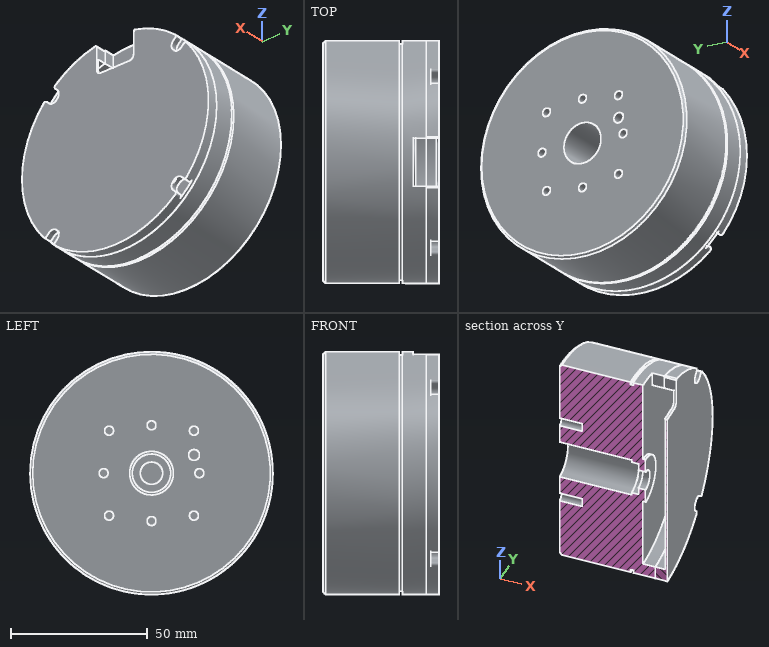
import cadquery as cq
import math

outer_radius = 44.5
total_length = 42.5
cover_length = 4.7
housing_length = total_length - cover_length
front_chamfer = 1.0

groove_start = 28.0
groove_width = 1.1
groove_depth = 1.2

cavity_start = 33.0
cavity_radius = 39.0
cover_plate_thickness = 1.0
boss_radius = 10.0
boss_height = 1.0

bore_radius = 8.0
bore_depth = 28.5
middle_bore_radius = 7.0
middle_bore_depth = 31.15
small_bore_radius = 4.1

screw_hole_diameter = 3.3
straight_hole_circle_radius = 17.5
diagonal_hole_circle_radius = 22.0
locating_hole_diameter = 4.0
locating_hole_y = -15.6
locating_hole_z = 6.7
front_hole_depth = 8.9

slot_width = 17.5
slot_floor_height = 31.15
slot_corner_radius = 2.0
slot_edge_chamfer = 0.5

notch_count = 4
notch_length = 3.0
notch_width = 5.7
notch_floor_radius = 39.3
notch_corner_radius = 2.5
notch_lip_radius = 1.0


def cylinder(start, length, radius):
    """Solid cylinder on the X axis."""
    return cq.Workplane("YZ", origin=(start, 0, 0)).circle(radius).extrude(length)


def front_holes(points, diameter):
    """Blind holes entering the front face at the given (Y, Z) points."""
    return cq.Workplane("YZ").pushPoints(points).circle(diameter / 2).extrude(front_hole_depth)


def hole_circle(radius, first_angle):
    """Four (Y, Z) points evenly spaced on a circle."""
    angles = [math.radians(first_angle + 90 * i) for i in range(4)]
    return [(radius * math.cos(a), radius * math.sin(a)) for a in angles]


def cable_slot():
    """Round-cornered slot cutter, open at the top and the rear."""
    slot_height = outer_radius - slot_floor_height
    return (
        cq.Workplane("XY")
        .box(total_length - cavity_start, slot_width, slot_height, centered=(False, True, False))
        .translate((cavity_start, 0, slot_floor_height))
        .edges("|X and <Z")
        .fillet(slot_corner_radius)
    )


def slot_chamfer():
    """Wedge that breaks the two outer edges of the slot across the cover."""
    half_width = slot_width / 2
    edge_height = math.sqrt(outer_radius**2 - half_width**2)
    chamfer_bottom = edge_height - slot_edge_chamfer
    edge_angle = math.asin(half_width / outer_radius) + slot_edge_chamfer / outer_radius
    chamfer_end_y = outer_radius * math.sin(edge_angle)
    chamfer_end_z = outer_radius * math.cos(edge_angle)
    return (
        cq.Workplane("YZ", origin=(housing_length, 0, 0))
        .moveTo(-half_width, chamfer_bottom)
        .lineTo(half_width, chamfer_bottom)
        .lineTo(chamfer_end_y, chamfer_end_z)
        .lineTo(chamfer_end_y, outer_radius)
        .lineTo(-chamfer_end_y, outer_radius)
        .lineTo(-chamfer_end_y, chamfer_end_z)
        .close()
        .extrude(cover_length)
    )


def rim_notch(angle):
    """Notch cutter with rounded floor corners and flared, rounded lips."""
    half_width = notch_width / 2
    lip_centre_y = half_width + notch_lip_radius
    lip_centre_radius = outer_radius - notch_lip_radius
    lip_centre_z = math.sqrt(lip_centre_radius**2 - lip_centre_y**2)
    lip_end_y = lip_centre_y * outer_radius / lip_centre_radius
    lip_end_z = lip_centre_z * outer_radius / lip_centre_radius
    top = outer_radius + notch_lip_radius
    corner = notch_corner_radius
    return (
        cq.Workplane("YZ", origin=(total_length - notch_length, 0, 0))
        .moveTo(-half_width + corner, notch_floor_radius)
        .lineTo(half_width - corner, notch_floor_radius)
        .radiusArc((half_width, notch_floor_radius + corner), -corner)
        .lineTo(half_width, lip_centre_z)
        .radiusArc((lip_end_y, lip_end_z), notch_lip_radius)
        .lineTo(lip_end_y, top)
        .lineTo(-lip_end_y, top)
        .lineTo(-lip_end_y, lip_end_z)
        .radiusArc((-half_width, lip_centre_z), notch_lip_radius)
        .lineTo(-half_width, notch_floor_radius + corner)
        .radiusArc((-half_width + corner, notch_floor_radius), -corner)
        .close()
        .extrude(notch_length)
        .rotate((0, 0, 0), (1, 0, 0), angle)
    )


def make_housing():
    """Drum with a stepped bore, front holes, outer groove and rear recess with a boss."""
    body = cylinder(0, housing_length, outer_radius).faces("<X").chamfer(front_chamfer)

    groove = cylinder(groove_start, groove_width, outer_radius).cut(
        cylinder(groove_start, groove_width, outer_radius - groove_depth)
    )
    boss = cylinder(cavity_start, boss_height, boss_radius)
    recess = cylinder(cavity_start, housing_length - cavity_start, cavity_radius)
    body = body.cut(groove).cut(recess).cut(cable_slot()).union(boss)

    body = body.cut(cylinder(0, bore_depth, bore_radius))
    body = body.cut(cylinder(0, middle_bore_depth, middle_bore_radius))
    body = body.cut(cylinder(0, cavity_start + boss_height, small_bore_radius))

    screw_points = hole_circle(straight_hole_circle_radius, 0) + hole_circle(diagonal_hole_circle_radius, 45)
    body = body.cut(front_holes(screw_points, screw_hole_diameter))
    return body.cut(front_holes([(locating_hole_y, locating_hole_z)], locating_hole_diameter))


def make_cover():
    """Cup closing the rear, with the cable slot and the rim notches."""
    cavity_length = cover_length - cover_plate_thickness
    body = cylinder(housing_length, cover_length, outer_radius)
    body = body.cut(cylinder(housing_length, cavity_length, cavity_radius))
    body = body.cut(cable_slot()).cut(slot_chamfer())
    for i in range(notch_count):
        body = body.cut(rim_notch(45 + i * 360 / notch_count))
    return body


housing = make_housing()
cover = make_cover()
result = cq.Compound.makeCompound([housing.val(), cover.val()])